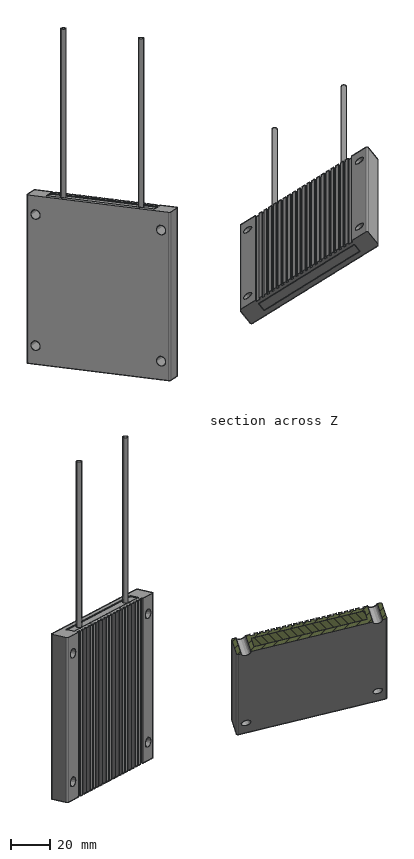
import cadquery as cq

housing_width = 80.0
housing_height = 90.0
housing_thickness = 10.2
edge_radius = 0.9

overall_height = 179.5
rod_diameter = 2.9
rod_spacing = 43.3

slot_width = 60.0
slot_thickness = 4.8
insert_setback = 0.5
insert_top = housing_height - insert_setback

hole_diameter = 5.0
hole_spacing = 70.0

rib_count = 19
rib_width = 1.8
rib_height = 0.8
recess_width = slot_width
rib_pitch = recess_width / (rib_count + 1)


def slot_block(bottom, top):
    """A block with the slot's cross-section between two Z levels."""
    return (
        cq.Workplane("XY", origin=(0, 0, bottom))
        .rect(slot_width, slot_thickness)
        .extrude(top - bottom)
    )


def rib_field():
    """Material taken off the back face: the recess less its evenly spaced ribs."""
    recess_floor = housing_thickness / 2 - rib_height
    field = cq.Workplane("XY").center(0, recess_floor + rib_height / 2)
    recess = field.rect(recess_width, rib_height).extrude(housing_height)
    ribs = (
        field.rarray(rib_pitch, 1.8, rib_count, 1)
        .rect(rib_width, rib_height)
        .extrude(housing_height)
    )
    return recess.cut(ribs)


def mounting_holes():
    """Four cylinders through the thickness, near the corners."""
    return (
        cq.Workplane("XZ", origin=(0, 0, housing_height / 2))
        .rarray(hole_spacing, hole_spacing, 2, 2)
        .circle(hole_diameter / 2)
        .extrude(housing_thickness / 2, both=True)
    )


def make_housing():
    bar = cq.Workplane("XY").rect(housing_width, housing_thickness).extrude(housing_height)
    bar = bar.edges("|Z").fillet(edge_radius)
    slot = slot_block(0, housing_height)
    return bar.cut(slot).cut(rib_field()).cut(mounting_holes())


def make_insert():
    return slot_block(insert_setback, insert_top)


def make_rod(x):
    """A round lead standing on the insert at the given X position."""
    return (
        cq.Workplane("XY", origin=(x, 0, insert_top))
        .circle(rod_diameter / 2)
        .extrude(overall_height - insert_top)
    )


housing = make_housing()
insert = make_insert()
rods = [make_rod(side * rod_spacing / 2) for side in (-1, 1)]

result = cq.Compound.makeCompound([housing.val(), insert.val(), *[rod.val() for rod in rods]])